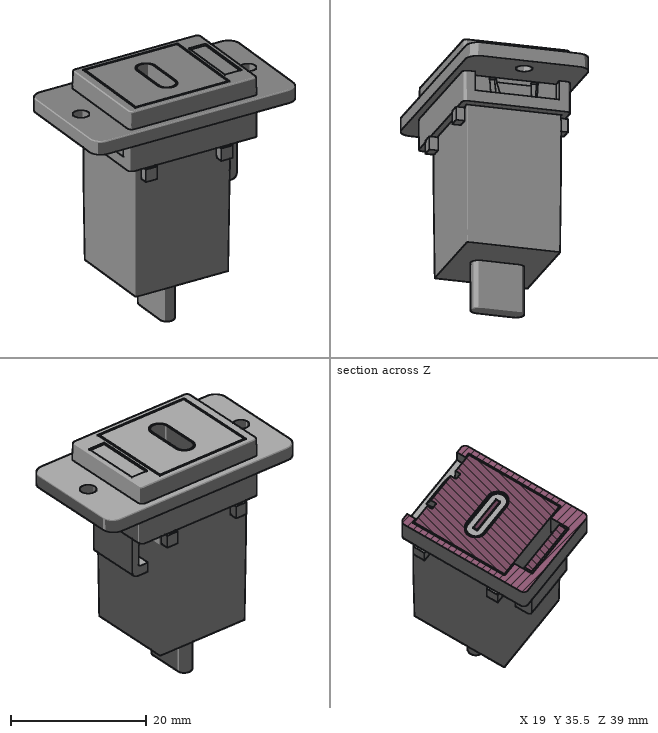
import cadquery as cq


FLANGE_WIDTH, FLANGE_LENGTH, FLANGE_THICKNESS = 19.0, 35.5, 2.2
FLANGE_CORNER_RADIUS = 2.0
FLANGE_EDGE_RADIUS = 0.25
SCREW_HOLE_DIAMETER = 2.5
SCREW_HOLE_SPACING = 29.0
BEZEL_WIDTH, BEZEL_LENGTH = 16.77, 22.4
BEZEL_CORNER_RADIUS = 0.78
BEZEL_EDGE_RADIUS = 0.27
BEZEL_DRAFT_ANGLE = 2.0
TOTAL_HEIGHT = 39.0
FLANGE_BOTTOM_Z = 0.0
TOP_Z = 5.07
HOUSING_BOTTOM_Z = -4.75
LABEL_WIDTH, LABEL_LENGTH, LABEL_DEPTH = 10.15, 2.92, 0.3
LABEL_CENTER_Y = 8.8

MODULE_CENTER_Y = -1.4
OPENING_WIDTH, OPENING_LENGTH = 14.7, 16.45
OPENING_FRONT_Y = MODULE_CENTER_Y - OPENING_LENGTH / 2
OPENING_BACK_Y = MODULE_CENTER_Y + OPENING_LENGTH / 2
WINDOW_WIDTH = 13.03
WINDOW_TOP_Z, WINDOW_BOTTOM_Z = FLANGE_BOTTOM_Z, -2.95

MODULE_TOP_WIDTH, MODULE_TOP_LENGTH = 14.2, 16.0
MODULE_WIDTH, MODULE_LENGTH = 14.65, 16.45
MODULE_BOTTOM_WIDTH, MODULE_BOTTOM_LENGTH = 14.43, 16.15
SHOULDER_Z = -6.95
PARTING_Z = -12.95
MODULE_BOTTOM_Z = -26.35
MODULE_CORNER_RADIUS = 0.1

TAB_SPAN = 17.35
TAB_LENGTH = 2.0
TAB_TOP_Z = -4.88
TAB_CENTERS_Y = (5.5, -7.6)

CATCH_SLOT_DEPTH = 0.98
CATCH_TOP_WIDTH, CATCH_BOTTOM_WIDTH = 7.53, 7.15
CATCH_TONGUE_TOP_WIDTH, CATCH_TONGUE_BOTTOM_WIDTH = 5.45, 4.85
RAMP_START_Z = -0.65
RAMP_REACH = 0.95

LATCH_WIDTH = 9.13
LATCH_OUTER_Y = 9.8
LATCH_TOP_THICKNESS, LATCH_BOTTOM_THICKNESS = 1.35, 1.2
LATCH_FOOT_THICKNESS = 1.6
LATCH_OUTER_RADIUS, LATCH_INNER_RADIUS = 0.98, 0.35
RIB_WIDTH, RIB_HEIGHT = 0.78, 1.05
LATCH_CLEARANCE = 0.25

SHELL_WIDTH, SHELL_THICKNESS = 9.0, 3.2
SHELL_WALL = 0.25
SHELL_FLOOR = 0.4
SOCKET_DEPTH = 6.25
SHELL_BOTTOM_Z = TOP_Z - SOCKET_DEPTH - SHELL_FLOOR
CONTACT_WIDTH, CONTACT_THICKNESS, CONTACT_HEIGHT = 6.05, 0.78, 4.3
PLUG_WIDTH, PLUG_THICKNESS = 8.25, 2.5
PLUG_BOTTOM_Z = TOP_Z - TOTAL_HEIGHT
PLUG_EDGE_RADIUS = 0.25


def box_between(x_span, y_span, z_span):
    """Axis-aligned box given by its lower and upper limits on each axis."""
    sizes = [high - low for low, high in (x_span, y_span, z_span)]
    corner = (x_span[0], y_span[0], z_span[0])
    return cq.Workplane("XY").box(*sizes, centered=False).translate(corner)


def centered_span(size, center=0.0):
    return (center - size / 2, center + size / 2)


def drafted_block(lower_size, lower_z, upper_size, upper_z):
    """Block on the module axis whose rectangular section changes evenly with height."""
    lower, upper = (
        cq.Sketch().rect(*size).vertices().fillet(MODULE_CORNER_RADIUS) for size in (lower_size, upper_size)
    )
    return (
        cq.Workplane("XY", origin=(0, MODULE_CENTER_Y, lower_z))
        .placeSketch(lower, upper.moved(cq.Location(cq.Vector(0, 0, upper_z - lower_z))))
        .loft(ruled=True)
    )


def stadium_bar(width, thickness, lower_z, upper_z):
    """Round-ended bar on the module axis."""
    return (
        cq.Workplane("XY", origin=(0, MODULE_CENTER_Y, lower_z))
        .slot2D(width, thickness)
        .extrude(upper_z - lower_z)
    )


def trapezoid_plate(top_width, bottom_width, front_y, back_y):
    """Plate facing -Y, as tall as the catch window and narrower at the bottom."""
    outline = [
        (-top_width / 2, WINDOW_TOP_Z),
        (top_width / 2, WINDOW_TOP_Z),
        (bottom_width / 2, WINDOW_BOTTOM_Z),
        (-bottom_width / 2, WINDOW_BOTTOM_Z),
    ]
    return cq.Workplane("XZ", origin=(0, back_y, 0)).polyline(outline).close().extrude(back_y - front_y)


def make_flange():
    return (
        cq.Workplane("XY")
        .rect(FLANGE_WIDTH, FLANGE_LENGTH)
        .extrude(FLANGE_THICKNESS)
        .edges("|Z")
        .fillet(FLANGE_CORNER_RADIUS)
        .faces(">Z")
        .edges()
        .fillet(FLANGE_EDGE_RADIUS)
        .faces("<Z")
        .workplane(origin=(0, 0, 0))
        .pushPoints([(0, SCREW_HOLE_SPACING / 2), (0, -SCREW_HOLE_SPACING / 2)])
        .hole(SCREW_HOLE_DIAMETER)
    )


def make_bezel():
    outline = cq.Sketch().rect(BEZEL_WIDTH, BEZEL_LENGTH).vertices().fillet(BEZEL_CORNER_RADIUS)
    skirt = (
        cq.Workplane("XY", origin=(0, 0, HOUSING_BOTTOM_Z))
        .placeSketch(outline)
        .extrude(FLANGE_THICKNESS - HOUSING_BOTTOM_Z)
    )
    raised_rim = (
        cq.Workplane("XY", origin=(0, 0, FLANGE_THICKNESS))
        .placeSketch(outline)
        .extrude(TOP_Z - FLANGE_THICKNESS, taper=BEZEL_DRAFT_ANGLE)
        .faces(">Z")
        .edges()
        .fillet(BEZEL_EDGE_RADIUS)
    )
    return skirt.union(raised_rim)


def make_housing():
    opening = box_between(
        centered_span(OPENING_WIDTH),
        (OPENING_FRONT_Y, OPENING_BACK_Y),
        (HOUSING_BOTTOM_Z, TOP_Z),
    )
    catch_window = box_between(
        centered_span(WINDOW_WIDTH),
        (-BEZEL_LENGTH / 2, OPENING_FRONT_Y),
        (WINDOW_BOTTOM_Z, WINDOW_TOP_Z),
    )
    latch_pocket = box_between(
        centered_span(LATCH_WIDTH + 2 * LATCH_CLEARANCE),
        (OPENING_BACK_Y, LATCH_OUTER_Y + LATCH_CLEARANCE),
        (HOUSING_BOTTOM_Z, FLANGE_BOTTOM_Z),
    )
    label_recess = box_between(
        centered_span(LABEL_WIDTH),
        centered_span(LABEL_LENGTH, LABEL_CENTER_Y),
        (TOP_Z - LABEL_DEPTH, TOP_Z),
    )
    housing = make_flange().union(make_bezel())
    for cutter in (opening, catch_window, latch_pocket, label_recess):
        housing = housing.cut(cutter)
    return housing


def make_module_core():
    full_size = (MODULE_WIDTH, MODULE_LENGTH)
    top = drafted_block(full_size, SHOULDER_Z, (MODULE_TOP_WIDTH, MODULE_TOP_LENGTH), TOP_Z)
    middle = drafted_block(full_size, PARTING_Z, full_size, SHOULDER_Z)
    bottom = drafted_block(
        (MODULE_BOTTOM_WIDTH, MODULE_BOTTOM_LENGTH), MODULE_BOTTOM_Z, full_size, PARTING_Z
    )
    return top.union(middle).union(bottom)


def make_catch_tongue():
    """Tapered tongue from the slot floor to the tip of the ramp."""
    return trapezoid_plate(
        CATCH_TONGUE_TOP_WIDTH,
        CATCH_TONGUE_BOTTOM_WIDTH,
        OPENING_FRONT_Y - RAMP_REACH,
        OPENING_FRONT_Y + CATCH_SLOT_DEPTH,
    )


def make_catch_slots():
    """Slots on both sides of the catch tongue."""
    whole_catch = trapezoid_plate(
        CATCH_TOP_WIDTH,
        CATCH_BOTTOM_WIDTH,
        OPENING_FRONT_Y,
        OPENING_FRONT_Y + CATCH_SLOT_DEPTH,
    )
    return whole_catch.cut(make_catch_tongue())


def make_catch_ramp():
    """Wedge that leans out downwards and rests on the lower edge of the window."""
    face_offset = (MODULE_LENGTH - MODULE_TOP_LENGTH) / 2 * (TOP_Z - RAMP_START_Z) / (TOP_Z - SHOULDER_Z)
    ramp_start_y = MODULE_CENTER_Y - MODULE_TOP_LENGTH / 2 - face_offset
    profile = [
        (ramp_start_y, RAMP_START_Z),
        (OPENING_FRONT_Y - RAMP_REACH, WINDOW_BOTTOM_Z),
        (ramp_start_y, WINDOW_BOTTOM_Z),
    ]
    wedge = cq.Workplane("YZ").polyline(profile).close().extrude(CATCH_TONGUE_TOP_WIDTH / 2, both=True)
    return wedge.intersect(make_catch_tongue())


def make_latch():
    """L-shaped spring arm joined to the back of the module by its foot and a narrow rib."""
    arm_top_z = FLANGE_BOTTOM_Z - LATCH_CLEARANCE
    foot_top_z = PARTING_Z + LATCH_FOOT_THICKNESS
    foot_end_y = MODULE_CENTER_Y
    arm_inner_bottom_y = LATCH_OUTER_Y - LATCH_BOTTOM_THICKNESS
    arm = (
        cq.Workplane("YZ")
        .moveTo(foot_end_y, PARTING_Z)
        .lineTo(LATCH_OUTER_Y - LATCH_OUTER_RADIUS, PARTING_Z)
        .radiusArc((LATCH_OUTER_Y, PARTING_Z + LATCH_OUTER_RADIUS), -LATCH_OUTER_RADIUS)
        .lineTo(LATCH_OUTER_Y, arm_top_z)
        .lineTo(LATCH_OUTER_Y - LATCH_TOP_THICKNESS, arm_top_z)
        .lineTo(arm_inner_bottom_y, foot_top_z + LATCH_INNER_RADIUS)
        .radiusArc((arm_inner_bottom_y - LATCH_INNER_RADIUS, foot_top_z), LATCH_INNER_RADIUS)
        .lineTo(foot_end_y, foot_top_z)
        .close()
        .extrude(LATCH_WIDTH / 2, both=True)
    )
    rib = box_between(
        centered_span(RIB_WIDTH),
        (foot_end_y, arm_inner_bottom_y),
        (foot_top_z, foot_top_z + RIB_HEIGHT),
    )
    return arm.union(rib)


def make_keystone_module():
    module = make_module_core().cut(make_catch_slots()).union(make_catch_ramp()).union(make_latch())
    for tab_y in TAB_CENTERS_Y:
        tab_pair = box_between(
            centered_span(TAB_SPAN), centered_span(TAB_LENGTH, tab_y), (SHOULDER_Z, TAB_TOP_Z)
        )
        module = module.union(tab_pair)
    socket_seat = stadium_bar(SHELL_WIDTH, SHELL_THICKNESS, SHELL_BOTTOM_Z, TOP_Z)
    plug_hole = stadium_bar(PLUG_WIDTH, PLUG_THICKNESS, MODULE_BOTTOM_Z, TOP_Z)
    return module.cut(socket_seat).cut(plug_hole)


def make_connector():
    """Receptacle shell with its contact blade, continued downwards as the plug."""
    floor_z = TOP_Z - SOCKET_DEPTH
    shell = stadium_bar(SHELL_WIDTH, SHELL_THICKNESS, SHELL_BOTTOM_Z, TOP_Z)
    socket = stadium_bar(SHELL_WIDTH - 2 * SHELL_WALL, SHELL_THICKNESS - 2 * SHELL_WALL, floor_z, TOP_Z)
    contact_blade = box_between(
        centered_span(CONTACT_WIDTH),
        centered_span(CONTACT_THICKNESS, MODULE_CENTER_Y),
        (floor_z, floor_z + CONTACT_HEIGHT),
    )
    plug = stadium_bar(PLUG_WIDTH, PLUG_THICKNESS, PLUG_BOTTOM_Z, SHELL_BOTTOM_Z)
    plug = plug.faces("<Z").edges().fillet(PLUG_EDGE_RADIUS)
    return plug.union(shell.cut(socket)).union(contact_blade)


housing = make_housing()
keystone_module = make_keystone_module()
connector = make_connector()

result = cq.Compound.makeCompound([housing.val(), keystone_module.val(), connector.val()])